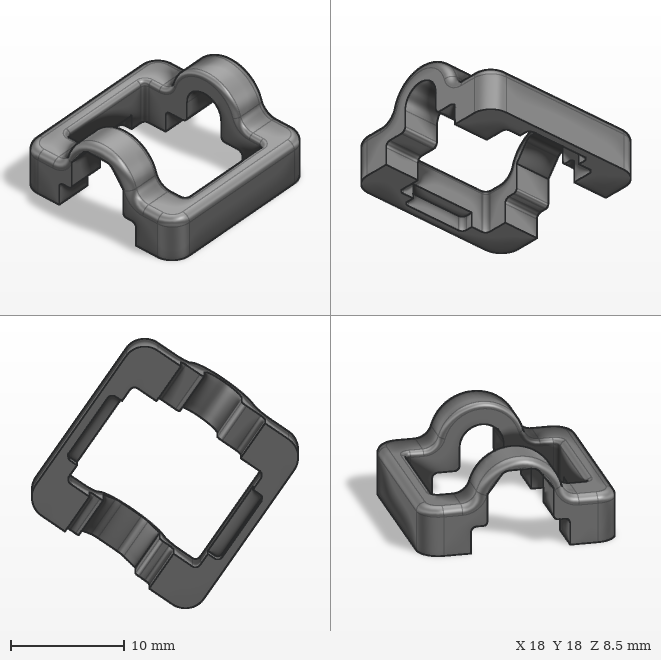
import cadquery as cq
import math

frame_size = 18.0
frame_height = 4.5
corner_radius = 2.0
side_wall = 2.0
end_wall = 3.8
window_corner_radius = 0.5
outer_edge_radius = 0.8
inner_edge_radius = 0.5

arch_radius = 4.0
arch_blend_radius = 1.5

leg_gap = 9.0
ledge_inner_radius = 0.5
front_half_width = 3.0
front_ledge_height = 2.5
front_ledge_radius = 0.4
front_shoulder_height = 5.45
front_top_height = 7.5
front_top_half_width = 1.48
front_top_radius = 0.9
rear_half_width = 2.0
rear_ledge_height = 2.3
rear_ledge_radius = 0.5

recess_length = 7.0
recess_depth = 1.2
recess_height = 1.5
recess_corner_radius = 0.5

half_size = frame_size / 2
window_half_x = half_size - side_wall
window_half_y = half_size - end_wall


def make_body():
    """Rounded square block with the arch profile running along Y."""
    centre_distance = arch_radius + arch_blend_radius
    blend_x = math.sqrt(centre_distance**2 - arch_blend_radius**2)
    blend_z = frame_height + arch_blend_radius
    tangent_x = blend_x * arch_radius / centre_distance
    tangent_z = frame_height + arch_blend_radius * arch_radius / centre_distance
    centre_angle = math.atan2(arch_blend_radius, blend_x)
    middle_angle = (math.pi / 2 + centre_angle) / 2
    middle_x = blend_x - arch_blend_radius * math.cos(middle_angle)
    middle_z = blend_z - arch_blend_radius * math.sin(middle_angle)

    profile = (
        cq.Workplane("XZ")
        .moveTo(-half_size, 0)
        .lineTo(-half_size, frame_height)
        .lineTo(-blend_x, frame_height)
        .threePointArc((-middle_x, middle_z), (-tangent_x, tangent_z))
        .threePointArc((0, frame_height + arch_radius), (tangent_x, tangent_z))
        .threePointArc((middle_x, middle_z), (blend_x, frame_height))
        .lineTo(half_size, frame_height)
        .lineTo(half_size, 0)
        .close()
        .extrude(half_size, both=True)
    )
    return profile.edges("|Z").fillet(corner_radius)


def make_window():
    """Rectangular opening through the whole height."""
    return (
        cq.Workplane("XY")
        .rect(2 * window_half_x, 2 * window_half_y)
        .extrude(frame_height + arch_radius)
        .edges("|Z")
        .fillet(window_corner_radius)
    )


def round_pair(solid, x, y, z, radius):
    """Round the two mirrored edges that pass nearest to (x, y, z) and (-x, y, z)."""
    for side in (-1, 1):
        nearest = cq.selectors.NearestToPointSelector((side * x, y, z))
        solid = solid.edges(nearest).fillet(radius)
    return solid


def make_leg_gap(ledge_height, start_y):
    """Gap under the ledges of the end wall whose lower-Y face is at start_y."""
    return (
        cq.Workplane("XY", origin=(0, start_y + end_wall / 2, 0))
        .rect(leg_gap, end_wall)
        .extrude(ledge_height)
    )


def make_front_opening():
    """Front opening: straight sides, sloping shoulders and a flat top."""
    start_y = -half_size
    middle_y = start_y + end_wall / 2
    opening = (
        cq.Workplane("XZ", origin=(0, start_y, 0))
        .moveTo(-front_half_width, 0)
        .lineTo(-front_half_width, front_shoulder_height)
        .lineTo(-front_top_half_width, front_top_height)
        .lineTo(front_top_half_width, front_top_height)
        .lineTo(front_half_width, front_shoulder_height)
        .lineTo(front_half_width, 0)
        .close()
        .extrude(-end_wall)
        .union(make_leg_gap(front_ledge_height, start_y))
    )
    opening = round_pair(opening, front_top_half_width, middle_y, front_top_height, front_top_radius)
    opening = round_pair(opening, leg_gap / 2, middle_y, front_ledge_height, ledge_inner_radius)
    return round_pair(opening, front_half_width, middle_y, front_ledge_height, front_ledge_radius)


def make_rear_opening():
    """Rear opening: straight sides under a half-round top concentric with the arch."""
    start_y = window_half_y
    middle_y = start_y + end_wall / 2
    opening = (
        cq.Workplane("XZ", origin=(0, start_y, 0))
        .moveTo(-rear_half_width, 0)
        .lineTo(-rear_half_width, frame_height)
        .threePointArc((0, frame_height + rear_half_width), (rear_half_width, frame_height))
        .lineTo(rear_half_width, 0)
        .close()
        .extrude(-end_wall)
        .union(make_leg_gap(rear_ledge_height, start_y))
    )
    opening = round_pair(opening, leg_gap / 2, middle_y, rear_ledge_height, ledge_inner_radius)
    return round_pair(opening, rear_half_width, middle_y, rear_ledge_height, rear_ledge_radius)


def make_recesses():
    """Both side-wall recesses as one block spanning the window."""
    return (
        cq.Workplane("XY")
        .rect(2 * (window_half_x + recess_depth), recess_length)
        .extrude(recess_height)
        .edges("|Z")
        .fillet(recess_corner_radius)
    )


result = make_body().cut(make_window())

window_edge = (window_half_x, 0, frame_height)
result = result.faces("<X").edges(">Z").fillet(outer_edge_radius)
result = result.edges(cq.selectors.NearestToPointSelector(window_edge)).fillet(inner_edge_radius)

result = result.cut(make_front_opening())
result = result.cut(make_rear_opening())
result = result.cut(make_recesses())